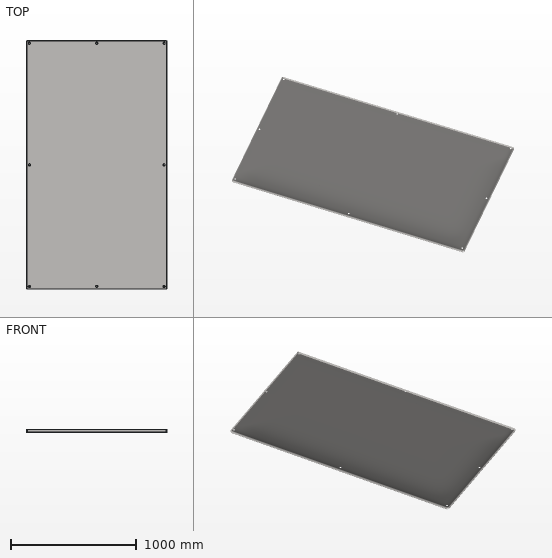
import cadquery as cq
import math

width = 1117.6
length = 1981.2
height = 22.23

sheet_thickness = 1.5
bend_radius = 3.6
corner_gap = 5.5

hole_diameter = 14.3
hole_inset = 22.225


def flange_profile(edge):
    """Section of one fold: a bend and the flange below it, with its outer face at distance `edge`."""
    bend_start = edge - bend_radius
    bend_centre_height = height - bend_radius
    inner_face = edge - sheet_thickness
    inner_radius = bend_radius - sheet_thickness
    outer_mid = bend_radius * math.sqrt(0.5)
    inner_mid = inner_radius * math.sqrt(0.5)
    return (
        cq.Workplane("XZ")
        .moveTo(bend_start, height)
        .threePointArc((bend_start + outer_mid, bend_centre_height + outer_mid), (edge, bend_centre_height))
        .lineTo(edge, 0)
        .lineTo(inner_face, 0)
        .lineTo(inner_face, bend_centre_height)
        .threePointArc(
            (bend_start + inner_mid, bend_centre_height + inner_mid),
            (bend_start, height - sheet_thickness),
        )
        .close()
    )


def make_flange(span, run, angle):
    """Flange turned about Z; `span` is the panel size across the fold and `run` the size along it."""
    half_flange_length = run / 2 - corner_gap
    flange = flange_profile(span / 2).extrude(half_flange_length, both=True)
    return flange.rotate((0, 0, 0), (0, 0, 1), angle)


def make_panel():
    """Flat top sheet between the bends."""
    flat_width = width - 2 * bend_radius
    flat_length = length - 2 * bend_radius
    sheet = cq.Workplane("XY").workplane(offset=height - sheet_thickness)
    return sheet.rect(flat_width, flat_length).extrude(sheet_thickness)


def make_holes():
    """Cutters for holes at the corners and edge midpoints, all at the same inset."""
    hole_x = width / 2 - hole_inset
    hole_y = length / 2 - hole_inset
    steps = (-1, 0, 1)
    centres = [(i * hole_x, j * hole_y) for i in steps for j in steps if (i, j) != (0, 0)]
    return cq.Workplane("XY").pushPoints(centres).circle(hole_diameter / 2).extrude(height)


result = make_panel()
for turn in (0, 180):
    result = result.union(make_flange(width, length, turn))
    result = result.union(make_flange(length, width, turn + 90))
result = result.cut(make_holes())